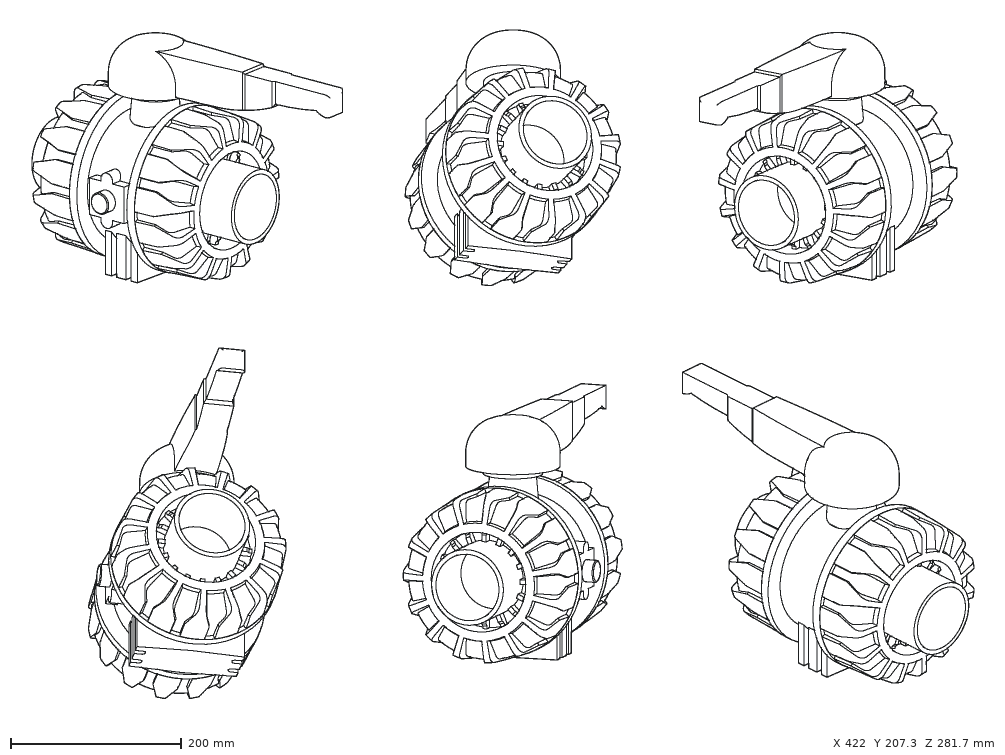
import cadquery as cq

OVERALL_LENGTH = 422.0

BORE_RADIUS = 39.5
PIPE_RADIUS = 45.0
PIPE_END_X = 150.2

BODY_RADIUS = 81.5
BODY_END_X = 67.5

STEM_BASE_RADIUS = 30.5
STEM_TOP_RADIUS = 27.5
STEM_BASE_Z = 76.0
STEM_TOP_Z = 110.0
COLLAR_RADIUS = 35.0
COLLAR_TOP_Z = 119.0
DOME_RADIUS = 55.5
DOME_ROUND = 42.0
DOME_TOP_Z = 177.2

LEVER_TOP_Z = 172.5
LEVER_REAR_TOP_Z = 170.0
LEVER_BOTTOM_Z = 121.5
LEVER_TIP_X = OVERALL_LENGTH - PIPE_END_X
LEVER_TIP_BOTTOM_Z = 141.5
LEVER_TIP_ROUND = 5.0
LEVER_ROOT_HALF_WIDTH = 25.7
FRONT_MIDDLE = (71.7, 24.0)
FRONT_END_HALF_WIDTH = 19.5
MIDDLE_HALF_WIDTH = 18.0
GRIP_HALF_WIDTH = 15.5
STEP_1_X = 146.0
STEP_2_X = 190.0
STEP_RUN = 3.0
BELLY_START_X = 112.5
BELLY_MIDDLE = (151.5, 125.8)
BELLY_END_Z = 137.5
GRIP_START_Z = 142.0
GRIP_MIDDLE = (225.8, 143.5)
HOOK_PEAK = (254.0, 147.3)
HOOK_MIDDLE = (260.0, 144.0)
HOOK_END_X = 268.5

BLOCK_WIDTH = 52.5
BLOCK_HEIGHT = 45.5
BLOCK_FACE_Y = -92.0
LUG_RADIUS = 9.0
LUG_HEIGHT = 68.8
PIN_RADIUS = 13.0
PIN_CHAMFER = 1.3
PIN_END_Y = -106.0

FOOT_BOTTOM_Z = -104.5
FOOT_HALF_LENGTH = 64.5
FOOT_MID_HALF_WIDTH = 27.5
FOOT_END_HALF_WIDTH = 24.0
SLOT_WIDTH = 7.5
SLOT_X = 10.75
SLOT_DEPTH = 12.5

NUT_START_X = 37.5
NUT_BAND_X = 49.0
NUT_END_X = 114.0
NUT_RADIUS = 101.3
NUT_LIP_X = 84.5
NUT_HOLE_RADIUS = 59.5
NUT_RING_RADIUS = 70.5
NUT_RING_BACK_RADIUS = 71.7
NUT_RING_BACK_X = 108.0
CORE_RADIUS = 96.2
CORE_CORNER_X = 97.5
CORE_ROUND = 9.3
RIB_START_RADIUS = 101.0
RIB_CORNER_X = 111.0
RIB_CORNER_RADIUS = 98.0
RIB_ROUND = 9.3
RIB_COUNT = 15
RIB_HALF_WIDTH = 14.8
RIB_TAPER_X = 77.0
RIB_NECK_X = 101.3
RIB_NECK_HALF_WIDTH = 6.8
RIB_TIP_HALF_WIDTH = 3.5
RIGHT_NUT_TURN = 4.0

GUSSET_COUNT = 16
GUSSET_WIDTH = 5.5
GUSSET_END_X = 95.5
GUSSET_CHAMFER = 3.0
GUSSET_CHAMFER_RADIUS = 53.0


def revolve_about_x(points):
    """Turn a closed outline of (x, radius) points about the pipe axis."""
    return cq.Workplane("XY").polyline(points).close().revolve(360, (0, 0, 0), (1, 0, 0))


def round_rim(solid, x, radius):
    """Round the outermost circular edge of a turned solid in the plane at x."""
    near = 0.05
    box = cq.selectors.BoxSelector((x - near, -near, -near), (x + near, near, near))
    return solid.edges(box).edges(cq.selectors.RadiusNthSelector(-1)).fillet(radius)


def x_cylinder(radius, start, end):
    return cq.Workplane("YZ", origin=(start, 0, 0)).circle(radius).extrude(end - start)


def ring_of(solid, count, turn=0.0):
    """Copies of a solid spaced evenly about the pipe axis."""
    return [
        solid.rotate((0, 0, 0), (1, 0, 0), turn + i * 360 / count)
        for i in range(count)
    ]



def make_stem():
    return (
        cq.Workplane("XY", origin=(0, 0, STEM_BASE_Z))
        .circle(STEM_BASE_RADIUS)
        .workplane(offset=STEM_TOP_Z - STEM_BASE_Z)
        .circle(STEM_TOP_RADIUS)
        .loft()
    )


def make_trunnion():
    plane = cq.Workplane("XZ")
    block = plane.rect(BLOCK_WIDTH, BLOCK_HEIGHT).extrude(-BLOCK_FACE_Y)
    lugs = plane.slot2D(LUG_HEIGHT, 2 * LUG_RADIUS, 90).extrude(-BLOCK_FACE_Y)
    pin = plane.circle(PIN_RADIUS).extrude(-PIN_END_Y).faces("<Y").chamfer(PIN_CHAMFER)
    return block.union(lugs).union(pin)


def make_foot():
    plan = [
        (FOOT_MID_HALF_WIDTH, 0),
        (FOOT_END_HALF_WIDTH, FOOT_HALF_LENGTH),
        (-FOOT_END_HALF_WIDTH, FOOT_HALF_LENGTH),
        (-FOOT_MID_HALF_WIDTH, 0),
        (-FOOT_END_HALF_WIDTH, -FOOT_HALF_LENGTH),
        (FOOT_END_HALF_WIDTH, -FOOT_HALF_LENGTH),
    ]
    foot = cq.Workplane("XY").polyline(plan).close().extrude(FOOT_BOTTOM_Z)
    slot_ends = [(x, y) for x in (-SLOT_X, SLOT_X) for y in (-FOOT_HALF_LENGTH, FOOT_HALF_LENGTH)]
    slots = (
        cq.Workplane("XY")
        .pushPoints(slot_ends)
        .slot2D(2 * SLOT_DEPTH, SLOT_WIDTH, 90)
        .extrude(FOOT_BOTTOM_Z)
    )
    return foot.cut(slots)


def make_body():
    body = x_cylinder(BODY_RADIUS, -BODY_END_X, BODY_END_X)
    body = body.union(make_stem()).union(make_trunnion()).union(make_foot())
    return body.cut(x_cylinder(BORE_RADIUS, -BODY_END_X, BODY_END_X))



def make_hub():
    collar = cq.Workplane("XY", origin=(0, 0, STEM_TOP_Z)).circle(COLLAR_RADIUS)
    collar = collar.extrude(COLLAR_TOP_Z - STEM_TOP_Z)
    dome = cq.Workplane("XY", origin=(0, 0, COLLAR_TOP_Z)).circle(DOME_RADIUS)
    dome = dome.extrude(DOME_TOP_Z - COLLAR_TOP_Z).faces(">Z").edges().fillet(DOME_ROUND)
    return collar.union(dome)


def make_lever_side():
    """Side outline of the lever, wider than the finished lever."""
    return (
        cq.Workplane("XZ")
        .moveTo(0, LEVER_TOP_Z)
        .lineTo(STEP_1_X, LEVER_TOP_Z)
        .lineTo(STEP_1_X + STEP_RUN, LEVER_REAR_TOP_Z)
        .lineTo(LEVER_TIP_X, LEVER_REAR_TOP_Z)
        .lineTo(LEVER_TIP_X, LEVER_TIP_BOTTOM_Z)
        .lineTo(HOOK_END_X, LEVER_TIP_BOTTOM_Z)
        .threePointArc(HOOK_MIDDLE, HOOK_PEAK)
        .threePointArc(GRIP_MIDDLE, (STEP_2_X + STEP_RUN, GRIP_START_Z))
        .lineTo(STEP_2_X, BELLY_END_Z)
        .threePointArc(BELLY_MIDDLE, (BELLY_START_X, LEVER_BOTTOM_Z))
        .lineTo(0, LEVER_BOTTOM_Z)
        .close()
        .extrude(DOME_RADIUS, both=True)
    )


def make_lever_plan():
    """Outline of the lever from above, with rounded corners at the tip."""
    half = (
        cq.Workplane("XY", origin=(0, 0, LEVER_BOTTOM_Z))
        .lineTo(0, LEVER_ROOT_HALF_WIDTH)
        .threePointArc(FRONT_MIDDLE, (STEP_1_X, FRONT_END_HALF_WIDTH))
        .lineTo(STEP_1_X + STEP_RUN, MIDDLE_HALF_WIDTH)
        .lineTo(STEP_2_X, MIDDLE_HALF_WIDTH)
        .lineTo(STEP_2_X + STEP_RUN, GRIP_HALF_WIDTH)
        .lineTo(LEVER_TIP_X, GRIP_HALF_WIDTH)
        .lineTo(LEVER_TIP_X, 0)
        .close()
        .extrude(LEVER_TOP_Z - LEVER_BOTTOM_Z)
    )
    plan = half.union(half.mirror("XZ"))
    return plan.edges("|Z and >X").fillet(LEVER_TIP_ROUND)


def make_lever():
    side = make_lever_side()
    side = side.faces(">X").edges(">Z").fillet(LEVER_TIP_ROUND)
    return side.intersect(make_lever_plan())


def make_handle():
    return make_hub().union(make_lever())



def make_nut_core():
    core = revolve_about_x([
        (NUT_START_X, 0),
        (NUT_START_X, NUT_RADIUS),
        (NUT_BAND_X, NUT_RADIUS),
        (NUT_BAND_X, CORE_RADIUS),
        (CORE_CORNER_X, CORE_RADIUS),
        (NUT_RING_BACK_X, NUT_RING_BACK_RADIUS),
        (NUT_END_X, NUT_RING_RADIUS),
        (NUT_END_X, 0),
    ])
    return round_rim(core, CORE_CORNER_X, CORE_ROUND)


def make_rib_envelope():
    envelope = revolve_about_x([
        (NUT_START_X, 0),
        (NUT_START_X, RIB_START_RADIUS),
        (NUT_BAND_X, RIB_START_RADIUS),
        (RIB_CORNER_X, RIB_CORNER_RADIUS),
        (NUT_END_X, NUT_RING_RADIUS),
        (NUT_END_X, 0),
    ])
    return round_rim(envelope, RIB_CORNER_X, RIB_ROUND)


def make_rib():
    """Grip rib on top of the nut core, narrowing in a smooth curve to the outer end."""
    rib = (
        cq.Workplane("XY", origin=(0, 0, NUT_HOLE_RADIUS))
        .moveTo(NUT_START_X, RIB_HALF_WIDTH)
        .lineTo(RIB_TAPER_X, RIB_HALF_WIDTH)
        .spline(
            [(RIB_NECK_X, RIB_NECK_HALF_WIDTH), (NUT_END_X, RIB_TIP_HALF_WIDTH)],
            includeCurrent=True,
        )
        .lineTo(NUT_END_X, 0)
        .lineTo(NUT_START_X, 0)
        .close()
        .extrude(NUT_RADIUS - NUT_HOLE_RADIUS)
    )
    return rib.union(rib.mirror("XZ")).intersect(make_rib_envelope())


def make_nut():
    """Nut on the +X side with one rib at +Y."""
    ribs = ring_of(make_rib(), RIB_COUNT, turn=-90)
    nut = cq.Workplane(make_nut_core().val().fuse(*[rib.val() for rib in ribs]).clean())
    nut = nut.cut(x_cylinder(NUT_HOLE_RADIUS, NUT_START_X, NUT_END_X))
    return nut.cut(x_cylinder(BODY_RADIUS, NUT_START_X, NUT_LIP_X))



def make_connector():
    """Pipe stub on the +X side with a gusseted flange held by the nut."""
    flange = x_cylinder(BODY_RADIUS, BODY_END_X, NUT_LIP_X)
    connector = flange.union(x_cylinder(PIPE_RADIUS, BODY_END_X, PIPE_END_X))
    gusset = (
        cq.Workplane("XZ")
        .moveTo(BODY_END_X, BORE_RADIUS)
        .lineTo(GUSSET_END_X, BORE_RADIUS)
        .lineTo(GUSSET_END_X, GUSSET_CHAMFER_RADIUS)
        .lineTo(GUSSET_END_X - GUSSET_CHAMFER, GUSSET_CHAMFER_RADIUS + GUSSET_CHAMFER)
        .lineTo(GUSSET_END_X - GUSSET_CHAMFER, NUT_HOLE_RADIUS)
        .lineTo(BODY_END_X, NUT_HOLE_RADIUS)
        .close()
        .extrude(GUSSET_WIDTH / 2, both=True)
        .intersect(x_cylinder(NUT_HOLE_RADIUS, BODY_END_X, PIPE_END_X))
    )
    for gusset_copy in ring_of(gusset, GUSSET_COUNT):
        connector = connector.union(gusset_copy)
    return connector.cut(x_cylinder(BORE_RADIUS, BODY_END_X, PIPE_END_X))


body = make_body()
handle = make_handle()
nut = make_nut()
left_nut = nut.mirror("YZ")
right_nut = nut.rotate((0, 0, 0), (1, 0, 0), RIGHT_NUT_TURN)
right_connector = make_connector()
left_connector = right_connector.mirror("YZ")

result = cq.Compound.makeCompound([
    body.val(),
    handle.val(),
    left_nut.val(),
    right_nut.val(),
    left_connector.val(),
    right_connector.val(),
])